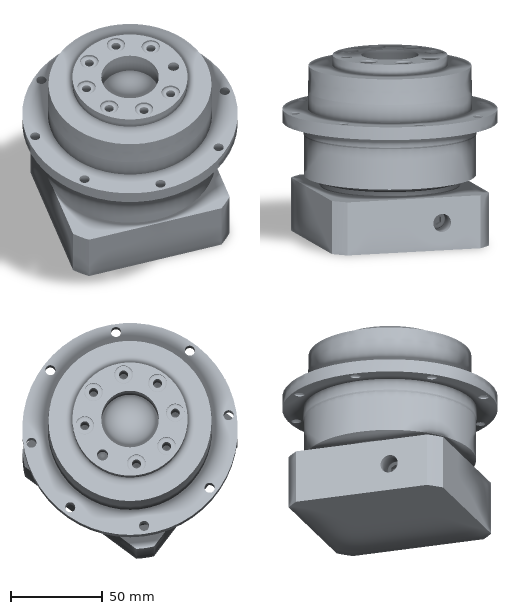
import cadquery as cq
import math

FLANGE_RADIUS = 59.0
ADAPTER_WIDTH = 90.0
ADAPTER_HEIGHT = 29.5

SCREW_Y = -16.0
SCREW_Z = 15.2
SCREW_HEAD_DIAMETER = 10.0
SCREW_HEAD_HEIGHT = 6.0
SCREW_HEAD_FILLET = 1.0
SCREW_HEAD_RECESS = SCREW_HEAD_DIAMETER
SOCKET_SIDES = 6
SOCKET_ACROSS_FLATS = 5.0
SOCKET_DEPTH = SCREW_HEAD_HEIGHT / 2

NECK_BOTTOM_Z = ADAPTER_HEIGHT
NECK_CHAMFER_TOP_Z = 30.2
NECK_TOP_Z = 32.5
RING_BOTTOM_Z = 35.3
RING_TOP_Z = 57.8
COLLAR_BOTTOM_Z = 58.6
FLANGE_BOTTOM_Z = 65.0
FLANGE_TOP_Z = 72.1
TAPER_BOTTOM_Z = 82.0
TAPER_TOP_Z = 96.2
OUTPUT_TOP_Z = 102.0

NECK_CHAMFER = 0.4
NECK_RADIUS = 38.6
RING_RADIUS = 47.2
COLLAR_RADIUS = 47.5
BODY_RADIUS = ADAPTER_WIDTH / 2
TAPER_TOP_RADIUS = 44.6
OUTPUT_RADIUS = 31.5

FLANGE_HOLE_COUNT = 8
FLANGE_HOLE_DIAMETER = 5.5
FLANGE_HOLE_CIRCLE_RADIUS = 54.5

BORE_DIAMETER = 31.5
BORE_DEPTH = 12.0

OUTPUT_HOLE_COUNT = 8
OUTPUT_HOLE_CIRCLE_RADIUS = 25.0
PIN_HOLE_ANGLE = 90.0
PIN_HOLE_DIAMETER = 6.1
PIN_HOLE_DEPTH = 7.1
BOLT_HOLE_DIAMETER = 5.0
BOLT_HOLE_DEPTH = 11.8
BOLT_DRILL_POINT_ANGLE = 118.0
COUNTERBORE_DIAMETER = 10.0
COUNTERBORE_DEPTH = 1.2


def polar_points(radius, angles):
    """Points on a circle about the main axis, at the given angles in degrees."""
    return [
        (radius * math.cos(math.radians(angle)), radius * math.sin(math.radians(angle)))
        for angle in angles
    ]


def even_angles(count):
    """Angles in degrees that divide a full turn evenly, starting on +X."""
    return [360.0 * index / count for index in range(count)]


def screw_axis_plane(depth):
    """Plane across the screw axis, at a depth below the -X face, with its normal along +X."""
    return cq.Plane(
        origin=(-ADAPTER_WIDTH / 2 + depth, SCREW_Y, SCREW_Z),
        xDir=(0, 1, 0),
        normal=(1, 0, 0),
    )


def make_adapter():
    """Square block with arc corners and a blind hole that holds the clamp screw."""
    block = cq.Workplane("XY").rect(ADAPTER_WIDTH, ADAPTER_WIDTH).extrude(ADAPTER_HEIGHT)
    corner_limit = cq.Workplane("XY").circle(FLANGE_RADIUS).extrude(ADAPTER_HEIGHT)
    screw_hole = (
        cq.Workplane(screw_axis_plane(0))
        .circle(SCREW_HEAD_DIAMETER / 2)
        .extrude(SCREW_HEAD_RECESS + SCREW_HEAD_HEIGHT)
    )
    return block.intersect(corner_limit).cut(screw_hole)


def make_clamp_screw():
    """Socket screw head seated on the floor of its hole, with a rounded outer rim."""
    head = (
        cq.Workplane(screw_axis_plane(SCREW_HEAD_RECESS))
        .circle(SCREW_HEAD_DIAMETER / 2)
        .extrude(SCREW_HEAD_HEIGHT)
        .faces("<X")
        .edges()
        .fillet(SCREW_HEAD_FILLET)
    )
    across_corners = SOCKET_ACROSS_FLATS / math.cos(math.pi / SOCKET_SIDES)
    socket = (
        cq.Workplane(screw_axis_plane(SCREW_HEAD_RECESS))
        .transformed(rotate=(0, 0, 90))
        .polygon(SOCKET_SIDES, across_corners)
        .extrude(SOCKET_DEPTH)
    )
    return head.cut(socket)


def make_gearbox_blank():
    """Turned gearbox body: neck, ring, collar, mounting flange, tapered front and output boss."""
    profile = [
        (0, NECK_BOTTOM_Z),
        (NECK_RADIUS - NECK_CHAMFER, NECK_BOTTOM_Z),
        (NECK_RADIUS, NECK_CHAMFER_TOP_Z),
        (NECK_RADIUS, NECK_TOP_Z),
        (RING_RADIUS, RING_BOTTOM_Z),
        (RING_RADIUS, RING_TOP_Z),
        (COLLAR_RADIUS, COLLAR_BOTTOM_Z),
        (COLLAR_RADIUS, FLANGE_BOTTOM_Z),
        (FLANGE_RADIUS, FLANGE_BOTTOM_Z),
        (FLANGE_RADIUS, FLANGE_TOP_Z),
        (BODY_RADIUS, FLANGE_TOP_Z),
        (BODY_RADIUS, TAPER_BOTTOM_Z),
        (TAPER_TOP_RADIUS, TAPER_TOP_Z),
        (OUTPUT_RADIUS, TAPER_TOP_Z),
        (OUTPUT_RADIUS, OUTPUT_TOP_Z),
        (0, OUTPUT_TOP_Z),
    ]
    return cq.Workplane("XZ").polyline(profile).close().revolve(360, (0, 0), (0, 1))


def make_flange_holes():
    """Cutters for the through holes in the mounting flange."""
    points = polar_points(FLANGE_HOLE_CIRCLE_RADIUS, even_angles(FLANGE_HOLE_COUNT))
    return (
        cq.Workplane("XY", origin=(0, 0, FLANGE_BOTTOM_Z))
        .pushPoints(points)
        .circle(FLANGE_HOLE_DIAMETER / 2)
        .extrude(FLANGE_TOP_Z - FLANGE_BOTTOM_Z)
    )


def make_output_pocket(points, diameter, depth):
    """Flat-bottomed round cutters sunk from the output face at the given points."""
    return (
        cq.Workplane("XY", origin=(0, 0, OUTPUT_TOP_Z))
        .pushPoints(points)
        .circle(diameter / 2)
        .extrude(-depth)
    )


def make_bolt_hole():
    """Cutter for one counterbored bolt hole with a drill point, its mouth at the origin."""
    hole_radius = BOLT_HOLE_DIAMETER / 2
    point_depth = hole_radius / math.tan(math.radians(BOLT_DRILL_POINT_ANGLE / 2))
    profile = [
        (0, 0),
        (COUNTERBORE_DIAMETER / 2, 0),
        (COUNTERBORE_DIAMETER / 2, -COUNTERBORE_DEPTH),
        (hole_radius, -COUNTERBORE_DEPTH),
        (hole_radius, -BOLT_HOLE_DEPTH),
        (0, -BOLT_HOLE_DEPTH - point_depth),
    ]
    return cq.Workplane("XZ").polyline(profile).close().revolve(360, (0, 0), (0, 1))


def make_gearbox():
    """Turned blank with its flange holes, centre bore, pin hole and ring of bolt holes."""
    gearbox = make_gearbox_blank().cut(make_flange_holes())
    gearbox = gearbox.cut(make_output_pocket([(0, 0)], BORE_DIAMETER, BORE_DEPTH))

    pin_points = polar_points(OUTPUT_HOLE_CIRCLE_RADIUS, [PIN_HOLE_ANGLE])
    gearbox = gearbox.cut(make_output_pocket(pin_points, PIN_HOLE_DIAMETER, PIN_HOLE_DEPTH))

    bolt_angles = [angle for angle in even_angles(OUTPUT_HOLE_COUNT) if angle != PIN_HOLE_ANGLE]
    bolt_hole = make_bolt_hole()
    for x, y in polar_points(OUTPUT_HOLE_CIRCLE_RADIUS, bolt_angles):
        gearbox = gearbox.cut(bolt_hole.translate((x, y, OUTPUT_TOP_Z)))
    return gearbox


adapter = make_adapter()
clamp_screw = make_clamp_screw()
gearbox = make_gearbox()

result = cq.Compound.makeCompound([adapter.val(), clamp_screw.val(), gearbox.val()])